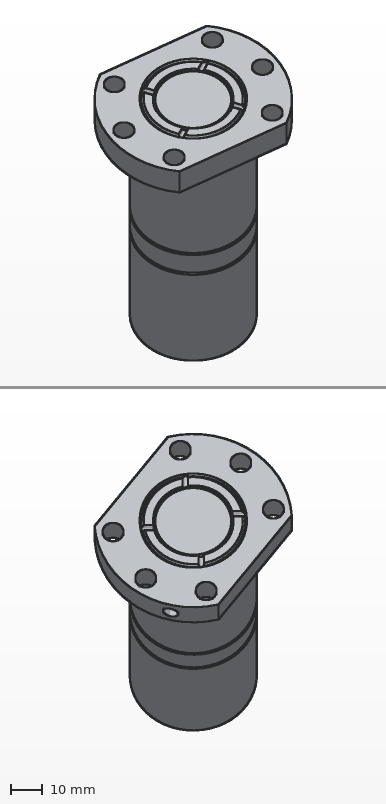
import cadquery as cq
import math

total_height = 101.0
flange_diameter = 62.0
flange_width = 48.0
flange_thickness = 9.9
body_diameter = 40.0

band_groove_width = 1.0
band_groove_depth = 0.2
band_groove_offsets = (50.8, 60.1)

bolt_hole_diameter = 6.6
bolt_circle_diameter = 51.0
bolt_angles = (45, 90, 135, 225, 270, 315)

port_diameter = 4.9
port_depth = 8.1
port_angle = 112.5

seat_diameter = 33.7
vee_diameter = 32.5
vee_depth = 0.7
ring_outer_diameter = 31.1
ring_bore_diameter = 25.2
core_diameter = 25.0
core_recess = 0.5
core_chamfer = 0.6

slot_count = 4
slot_diameter = 1.8
slot_outer_diameter = 33.1
slot_angle = 37.0
slot_offset = 2.2


def disc(diameter, top, height):
    """Cylinder on the Z axis that hangs down from the given level."""
    return cq.Workplane("XY").workplane(offset=top - height).circle(diameter / 2).extrude(height)


def make_flange():
    """Round flange trimmed by two parallel flats."""
    flats = cq.Workplane("XY").box(flange_width, flange_diameter, total_height)
    flats = flats.translate((0, 0, total_height))
    return disc(flange_diameter, total_height, flange_thickness).intersect(flats)


def make_band_groove(offset):
    """Revolved arc segment that cuts one shallow groove around the body."""
    body_radius = body_diameter / 2
    centre = total_height - offset
    top = (body_radius, centre + band_groove_width / 2)
    bottom = (body_radius, centre - band_groove_width / 2)
    deepest = (body_radius - band_groove_depth, centre)
    segment = cq.Workplane("XZ").moveTo(*top).threePointArc(deepest, bottom).close()
    return segment.revolve(360, (0, 0), (0, 1))


def make_bolt_holes():
    """Through holes on the bolt circle."""
    radius = bolt_circle_diameter / 2
    centres = [
        (radius * math.cos(math.radians(angle)), radius * math.sin(math.radians(angle)))
        for angle in bolt_angles
    ]
    holes = cq.Workplane("XY").workplane(offset=total_height - flange_thickness)
    return holes.pushPoints(centres).circle(bolt_hole_diameter / 2).extrude(flange_thickness)


def make_port():
    """Blind radial hole at half the flange thickness."""
    start = flange_diameter / 2 - port_depth
    port = cq.Workplane("YZ").workplane(offset=start).circle(port_diameter / 2).extrude(port_depth)
    port = port.translate((0, 0, total_height - flange_thickness / 2))
    return port.rotate((0, 0, 0), (0, 0, 1), port_angle)


def make_wiper_recess():
    """Revolved cutter for the vee around the ring and the step down to the core."""
    seat_radius = seat_diameter / 2
    vee_radius = vee_diameter / 2
    bore_radius = ring_bore_diameter / 2
    core_radius = core_diameter / 2
    core_top = total_height - core_recess
    profile = [
        (0, total_height),
        (seat_radius, total_height),
        (vee_radius, total_height - vee_depth),
        (ring_outer_diameter / 2, total_height),
        (bore_radius, total_height),
        (bore_radius, core_top - core_chamfer),
        (core_radius, core_top - core_chamfer),
        (core_radius - core_chamfer, core_top),
        (0, core_top),
    ]
    return cq.Workplane("XZ").polyline(profile).close().revolve(360, (0, 0), (0, 1))


def make_slots():
    """Half-round channels from the gap around the core to the sloped edge of the ring's seat."""
    gap_diameter = (ring_bore_diameter + core_diameter) / 2
    slots = disc(slot_outer_diameter, total_height, slot_diameter)
    slots = slots.cut(disc(gap_diameter, total_height, slot_diameter))
    channels = cq.Workplane("XY")
    for index in range(slot_count):
        channel = cq.Workplane("YZ").center(slot_offset, total_height).circle(slot_diameter / 2)
        channel = channel.extrude(seat_diameter / 2)
        angle = slot_angle + index * 360 / slot_count
        channels = channels.union(channel.rotate((0, 0, 0), (0, 0, 1), angle))
    return slots.intersect(channels)


result = make_flange().union(disc(body_diameter, total_height, total_height))
for offset in band_groove_offsets:
    result = result.cut(make_band_groove(offset))
result = result.cut(make_bolt_holes()).cut(make_port())
result = result.cut(make_wiper_recess()).cut(make_slots())